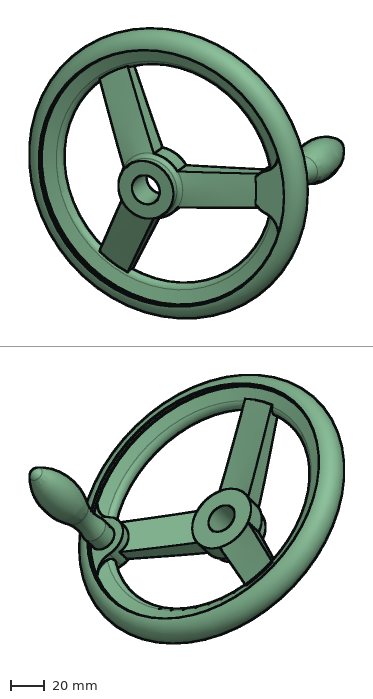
import cadquery as cq
import math

FAR = 200.0

rim_mid_depth = 32.5
rim_round_radius = 10.0
rim_round_centre = 80.0
rim_front = rim_mid_depth - rim_round_radius
rim_back = rim_mid_depth + rim_round_radius
recess_step = 2.9
recess_edge_break = 0.3
rim_bead_radius = 4.5
rim_bead_centre = 72.7

hub_face_radius = 18.0
hub_body_radius = 20.3
hub_neck_depth = 5.0
hub_shoulder_depth = 8.4
hub_back = 21.0
bore_diameter = 18.0

spoke_count = 3
spoke_half_width_axis = 11.6
spoke_half_width_rim = 10.6
spoke_front_slope = 0.423
spoke_back_slope = 0.33
spoke_end_radius = 72.0

boss_centre = 71.0
boss_radius = 14.0
boss_front = rim_front + recess_step
boss_back = rim_back - recess_step
boss_blend_radius = 12.0
boss_shoulder_x = 74.6

handle_collar_radius = 8.0
handle_collar_end = 50.0
handle_neck_radius = 6.95
handle_neck_depth = 59.7
handle_grip_start_radius = 8.7
handle_grip_start = 71.0
handle_grip_radius = 12.4
handle_grip_depth = 90.0
handle_tip_radius = 4.4
handle_tip_depth = 117.6
handle_end = 120.0


def revolve_about_y(outline):
    """Turn a closed XY outline (x = radius, y = depth) about the Y axis."""
    return outline.close().revolve(360, (0, 0, 0), (0, 1, 0))


def make_rim():
    wall_radius = rim_round_centre - recess_edge_break
    recess_radius = wall_radius - recess_edge_break
    wall_top = rim_round_radius - recess_edge_break
    floor_height = rim_round_radius - recess_step
    wall_foot = floor_height + recess_edge_break
    run = recess_radius - rim_bead_centre
    sight_length = math.hypot(run, floor_height)
    tangent_angle = math.atan2(floor_height, run) + math.acos(rim_bead_radius / sight_length)
    tangent_radius = rim_bead_centre + rim_bead_radius * math.cos(tangent_angle)
    tangent_height = rim_bead_radius * math.sin(tangent_angle)
    outline = (
        cq.Workplane("XY")
        .moveTo(rim_round_centre, rim_back)
        .threePointArc(
            (rim_round_centre + rim_round_radius, rim_mid_depth),
            (rim_round_centre, rim_front),
        )
        .lineTo(wall_radius, rim_mid_depth - wall_top)
        .lineTo(wall_radius, rim_mid_depth - wall_foot)
        .lineTo(recess_radius, rim_mid_depth - floor_height)
        .lineTo(tangent_radius, rim_mid_depth - tangent_height)
        .threePointArc(
            (rim_bead_centre - rim_bead_radius, rim_mid_depth),
            (tangent_radius, rim_mid_depth + tangent_height),
        )
        .lineTo(recess_radius, rim_mid_depth + floor_height)
        .lineTo(wall_radius, rim_mid_depth + wall_foot)
        .lineTo(wall_radius, rim_mid_depth + wall_top)
    )
    return revolve_about_y(outline)


def make_hub():
    outline = (
        cq.Workplane("XY")
        .lineTo(hub_face_radius, 0)
        .lineTo(hub_face_radius, hub_neck_depth)
        .tangentArcPoint((hub_body_radius, hub_shoulder_depth), relative=False)
        .lineTo(hub_body_radius, hub_back)
        .lineTo(0, hub_back)
    )
    return revolve_about_y(outline)


def make_spoke():
    """Tapering arm along +X, cut by its plan from a dished disc with conical faces."""
    reach = spoke_end_radius - hub_body_radius
    dished_disc = revolve_about_y(
        cq.Workplane("XY")
        .moveTo(0, hub_shoulder_depth)
        .lineTo(hub_body_radius, hub_shoulder_depth)
        .lineTo(spoke_end_radius, hub_shoulder_depth + spoke_front_slope * reach)
        .lineTo(spoke_end_radius, hub_back + spoke_back_slope * reach)
        .lineTo(hub_body_radius, hub_back)
        .lineTo(0, hub_back)
    )
    plan = (
        cq.Workplane("XZ")
        .moveTo(0, -spoke_half_width_axis)
        .lineTo(spoke_end_radius, -spoke_half_width_rim)
        .lineTo(spoke_end_radius, spoke_half_width_rim)
        .lineTo(0, spoke_half_width_axis)
        .close()
        .extrude(FAR, both=True)
    )
    return dished_disc.intersect(plan)


def make_boss():
    """Round pad at the end of one spoke, flaring into the rim with concave blends."""
    blend_x = boss_shoulder_x - boss_blend_radius
    blend_z = math.sqrt((boss_radius + boss_blend_radius) ** 2 - (boss_centre - blend_x) ** 2)
    share = boss_radius / (boss_radius + boss_blend_radius)
    tangent_x = boss_centre + (blend_x - boss_centre) * share
    tangent_z = blend_z * share
    shoulder_z = math.sqrt(rim_round_centre ** 2 - boss_shoulder_x ** 2)
    mid_angle = math.atan2(tangent_z - blend_z, tangent_x - blend_x) / 2
    mid_x = blend_x + boss_blend_radius * math.cos(mid_angle)
    mid_z = blend_z + boss_blend_radius * math.sin(mid_angle)
    return (
        cq.Workplane("XZ", origin=(0, boss_front, 0))
        .moveTo(tangent_x, -tangent_z)
        .threePointArc((boss_centre - boss_radius, 0), (tangent_x, tangent_z))
        .threePointArc((mid_x, mid_z), (boss_shoulder_x, blend_z))
        .lineTo(boss_shoulder_x, shoulder_z)
        .threePointArc((rim_round_centre, 0), (boss_shoulder_x, -shoulder_z))
        .lineTo(boss_shoulder_x, -blend_z)
        .threePointArc((mid_x, -mid_z), (tangent_x, -tangent_z))
        .close()
        .extrude(-(boss_back - boss_front))
    )


def make_handle():
    tip_height = handle_end - handle_tip_depth
    tip_sphere_radius = (handle_tip_radius ** 2 + tip_height ** 2) / (2 * tip_height)
    outline = (
        cq.Workplane("XY")
        .moveTo(0, boss_front)
        .lineTo(handle_collar_radius, boss_front)
        .lineTo(handle_collar_radius, handle_collar_end)
        .threePointArc(
            (handle_neck_radius, handle_neck_depth),
            (handle_grip_start_radius, handle_grip_start),
        )
        .threePointArc(
            (handle_grip_radius, handle_grip_depth),
            (handle_tip_radius, handle_tip_depth),
        )
        .radiusArc((0, handle_end), -tip_sphere_radius)
    )
    return revolve_about_y(outline).translate((boss_centre, 0, 0))


def make_bore():
    return cq.Workplane("XZ").circle(bore_diameter / 2).extrude(FAR, both=True)


result = make_rim().union(make_hub())
for index in range(spoke_count):
    angle = index * 360 / spoke_count
    result = result.union(make_spoke().rotate((0, 0, 0), (0, 1, 0), angle))
result = result.union(make_boss()).union(make_handle())
result = result.cut(make_bore())